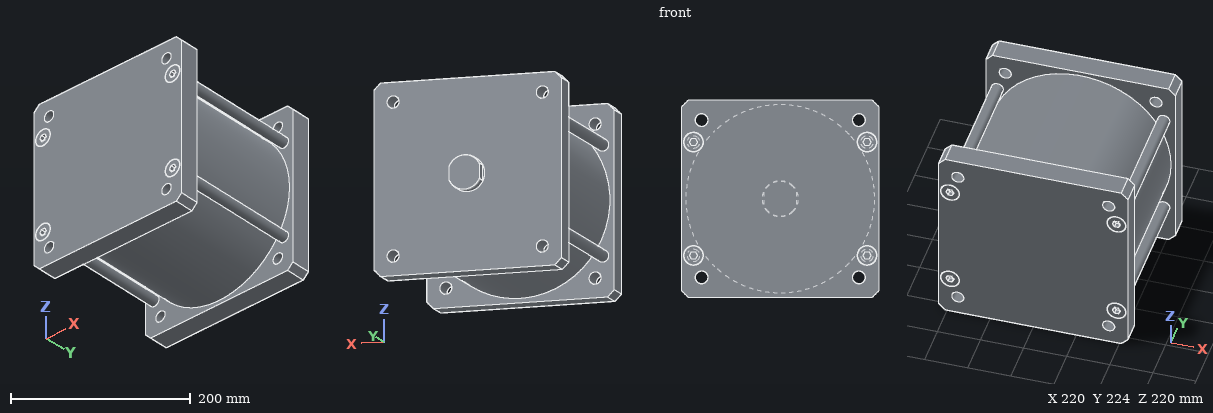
import cadquery as cq

PLATE_SIDE = 220.0
PLATE_THICKNESS = 26.2
PLATE_CORNER_CHAMFER = 7.8
TOTAL_LENGTH = 224
STUB_LENGTH = 11.6

BODY_DIAMETER = 210.0

MOUNT_HOLE_DIAMETER = 14.0
MOUNT_HOLE_PITCH = 175.0

TIE_ROD_DIAMETER = 14.0
TIE_ROD_PITCH_X = 193.0
TIE_ROD_PITCH_Z = 126.0

HEAD_DIAMETER = 21.0
HEAD_HEIGHT = 14.0
HEAD_RECESS_DIAMETER = 22.0
SOCKET_CORNER_DIAMETER = 9.2
SOCKET_DEPTH = 6.0

STUB_DIAMETER = 40.0
STUB_CHAMFER_LENGTH = 2.0
STUB_CHAMFER_INSET = 0.54
STUB_FLATS_WIDTH = 36.0

FRONT_FACE = -TOTAL_LENGTH / 2
STUB_END = TOTAL_LENGTH / 2
REAR_FACE = STUB_END - STUB_LENGTH
FLAT_START = REAR_FACE + (STUB_DIAMETER - STUB_FLATS_WIDTH) / 2
BODY_START = FRONT_FACE + PLATE_THICKNESS
BODY_END = REAR_FACE - PLATE_THICKNESS


def section_at(y):
    """Workplane across the axis at y; extrusions from it grow toward +Y."""
    return cq.Workplane("XZ", origin=(0, y, 0)).transformed(rotate=(180, 0, 0))


def rectangle_corners(pitch_x, pitch_z):
    return [(sx * pitch_x / 2, sz * pitch_z / 2) for sx in (-1, 1) for sz in (-1, 1)]


MOUNT_HOLE_POINTS = rectangle_corners(MOUNT_HOLE_PITCH, MOUNT_HOLE_PITCH)
TIE_ROD_POINTS = rectangle_corners(TIE_ROD_PITCH_X, TIE_ROD_PITCH_Z)


def cylinders(y_start, y_end, diameter, points):
    return section_at(y_start).pushPoints(points).circle(diameter / 2).extrude(y_end - y_start)


def end_plate(y_start):
    """Square plate with chamfered corners and four mounting holes."""
    plate = (
        section_at(y_start)
        .rect(PLATE_SIDE, PLATE_SIDE)
        .extrude(PLATE_THICKNESS)
        .edges("|Y")
        .chamfer(PLATE_CORNER_CHAMFER)
    )
    holes = cylinders(y_start, y_start + PLATE_THICKNESS, MOUNT_HOLE_DIAMETER, MOUNT_HOLE_POINTS)
    return plate.cut(holes)


def screw_head_recesses():
    """Narrow ring gap around each flush screw head, plus its hexagon socket."""
    gaps = (
        section_at(FRONT_FACE)
        .pushPoints(TIE_ROD_POINTS)
        .circle(HEAD_RECESS_DIAMETER / 2)
        .circle(HEAD_DIAMETER / 2)
        .extrude(HEAD_HEIGHT)
    )
    sockets = (
        section_at(FRONT_FACE)
        .pushPoints(TIE_ROD_POINTS)
        .polygon(6, SOCKET_CORNER_DIAMETER)
        .extrude(SOCKET_DEPTH)
    )
    return gaps.union(sockets)


def rod_stub():
    """Chamfered round stub with wrench flats on -X and +X that run out at 45 degrees."""
    stub = (
        section_at(REAR_FACE)
        .circle(STUB_DIAMETER / 2)
        .extrude(STUB_LENGTH)
        .faces(">Y")
        .chamfer(STUB_CHAMFER_LENGTH, STUB_CHAMFER_INSET)
    )
    flat_profile = (
        cq.Workplane("XY")
        .moveTo(STUB_FLATS_WIDTH / 2, STUB_END)
        .lineTo(STUB_FLATS_WIDTH / 2, FLAT_START)
        .lineTo(STUB_DIAMETER / 2, REAR_FACE)
        .lineTo(STUB_DIAMETER, REAR_FACE)
        .lineTo(STUB_DIAMETER, STUB_END)
        .close()
    )
    flat = flat_profile.extrude(STUB_DIAMETER, both=True)
    return stub.cut(flat).cut(flat.mirror("YZ"))


body = cylinders(BODY_START, BODY_END, BODY_DIAMETER, [(0, 0)])
tie_rods = cylinders(BODY_START, BODY_END, TIE_ROD_DIAMETER, TIE_ROD_POINTS)

result = (
    end_plate(FRONT_FACE)
    .union(end_plate(BODY_END))
    .union(body)
    .union(tie_rods)
    .union(rod_stub())
    .cut(screw_head_recesses())
)